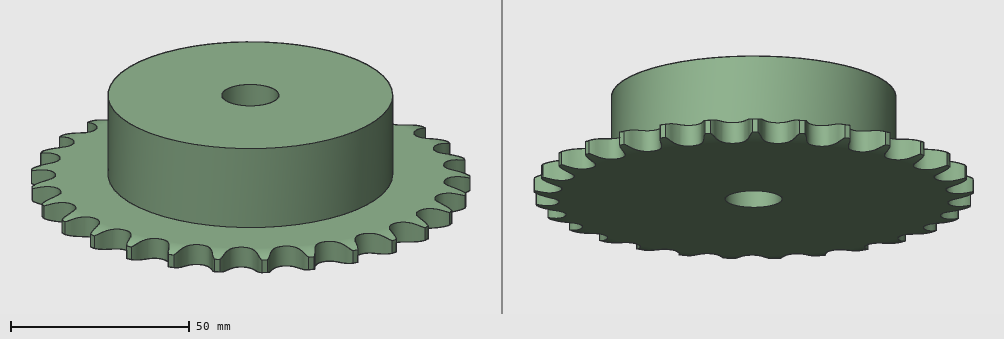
import cadquery as cq
import math

tooth_count = 29
chain_pitch = 12.7
tip_diameter = 123.4
roller_diameter = 7.9
roller_clearance = 0.07
plate_thickness = 6.0
tooth_rounding_radius = 16.0
tooth_rounding_start = 55.9
hub_diameter = 80.0
bore_diameter = 16.0
total_height = 30.0

tip_radius = tip_diameter / 2
tooth_step = 360.0 / tooth_count
pitch_radius = chain_pitch / 2 / math.sin(math.pi / tooth_count)
rounding_width = tip_radius - tooth_rounding_start

seat_half_angle = math.radians(55 - 60 / tooth_count)
working_angle = math.radians(18 - 56 / tooth_count)
topping_angle = math.radians(17 - 64 / tooth_count)
working_center_offset = 0.8 * roller_diameter
topping_center_offset = 1.4 * roller_diameter
seat_radius = roller_diameter / 2 + roller_clearance
working_radius = seat_radius + working_center_offset
flank_line_length = (
    topping_center_offset * math.sin(topping_angle) - working_center_offset * math.sin(working_angle)
)
topping_radius = (
    working_center_offset * math.cos(working_angle)
    + topping_center_offset * math.cos(topping_angle)
    - working_radius
)


def rounding_drop(distance):
    """Axial depth of the tooth rounding at a radial distance past its start."""
    return tooth_rounding_radius - math.sqrt(tooth_rounding_radius**2 - distance**2)


def make_blank():
    """Revolved disc whose rim is rounded on both faces."""
    mid_radius = tooth_rounding_start + rounding_width / 2
    mid_drop = rounding_drop(rounding_width / 2)
    tip_drop = rounding_drop(rounding_width)
    profile = (
        cq.Workplane("XZ")
        .lineTo(tooth_rounding_start, 0)
        .threePointArc((mid_radius, mid_drop), (tip_radius, tip_drop))
        .lineTo(tip_radius, plate_thickness - tip_drop)
        .threePointArc((mid_radius, plate_thickness - mid_drop), (tooth_rounding_start, plate_thickness))
        .lineTo(0, plate_thickness)
        .close()
    )
    return profile.revolve(360, (0, 0, 0), (0, 1, 0))


def polar_step(start, length, angle):
    """Point at a length from start; the angle is measured from -Y toward +X."""
    return (start[0] + length * math.sin(angle), start[1] - length * math.cos(angle))


def mirrored(point):
    """Mirror image of a point across the Y axis."""
    return (-point[0], point[1])


def make_gap():
    """Cutter for the tooth gap on the +Y axis: seat, working arc, flat flank and topping arc."""
    roller_center = (0, pitch_radius)
    flank_angle = seat_half_angle + working_angle

    seat_bottom = polar_step(roller_center, seat_radius, 0)
    seat_end = polar_step(roller_center, seat_radius, seat_half_angle)
    working_center = polar_step(roller_center, -working_center_offset, seat_half_angle)
    working_end = polar_step(working_center, working_radius, flank_angle)
    line_end = polar_step(working_end, flank_line_length, flank_angle + math.pi / 2)

    topping_center = polar_step(line_end, topping_radius, flank_angle)
    center_distance = math.hypot(*topping_center)
    center_angle = math.atan2(topping_center[1], topping_center[0])
    cosine = (tip_radius**2 + center_distance**2 - topping_radius**2) / (2 * tip_radius * center_distance)
    tip_angle = center_angle + math.acos(cosine)
    tip = (tip_radius * math.cos(tip_angle), tip_radius * math.sin(tip_angle))
    outer_corner = (tip[0], tip_radius + seat_radius)

    return (
        cq.Workplane("XY")
        .moveTo(*seat_bottom)
        .radiusArc(seat_end, -seat_radius)
        .radiusArc(working_end, -working_radius)
        .lineTo(*line_end)
        .radiusArc(tip, topping_radius)
        .lineTo(*outer_corner)
        .lineTo(*mirrored(outer_corner))
        .lineTo(*mirrored(tip))
        .radiusArc(mirrored(line_end), topping_radius)
        .lineTo(*mirrored(working_end))
        .radiusArc(mirrored(seat_end), -working_radius)
        .radiusArc(seat_bottom, -seat_radius)
        .close()
        .extrude(plate_thickness)
    )


sprocket = make_blank()
gap = make_gap()
for index in range(tooth_count):
    sprocket = sprocket.cut(gap.rotate((0, 0, 0), (0, 0, 1), index * tooth_step))

hub = cq.Workplane("XY").circle(hub_diameter / 2).extrude(total_height)
bore = cq.Workplane("XY").circle(bore_diameter / 2).extrude(total_height)

result = sprocket.union(hub).cut(bore)